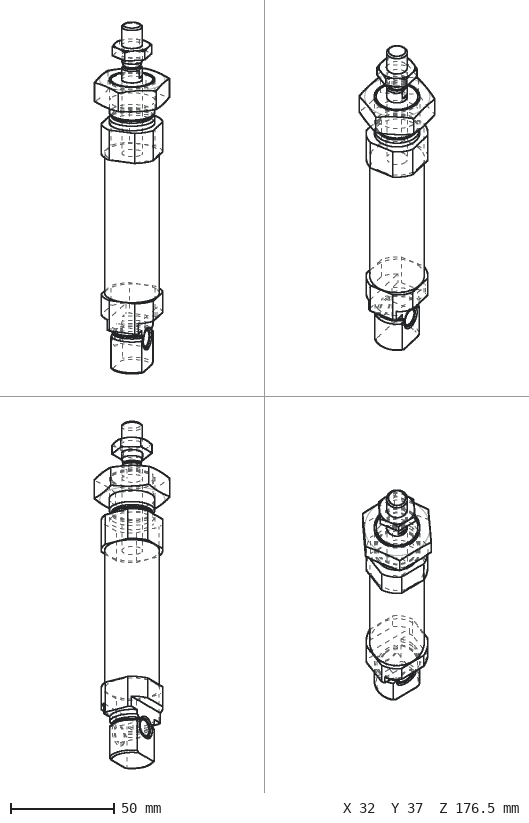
import cadquery as cq
import math

collar_d = 22.0
collar_groove_d = 19.8
collar_tip_d = 20.3
rod_d = 10.0

pivot_z = 15.5
tail_top_z = 22.2
flat_top_z = 27.5
rear_cap_top_z = 38.0
front_cap_z = 110.5
front_cap_top_z = 126.0
collar_nut_z = 137.5
collar_nut_height = 11.0
collar_top_z = collar_nut_z + collar_nut_height
rod_top_z = 176.5

tube_d = 26.5
cap_width = 27.0
cap_corner_d = 30.0
tail_width = 16.0
tip_chamfer = (collar_d - collar_tip_d) / 2
pivot_d = 8.0
pivot_recess_d = 9.7
pivot_rim_d = 11.1
groove_width = 3.2
tail_groove_z = 16.8
collar_groove_z = 128.3

rod_neck_d = 8.5
rod_tip_chamfer = 0.9
rod_flat_width = 9.0
rod_flat_z = 150.4
shoulder_z = 154.5
neck_z = 155.1
neck_top_z = 156.0
thread_z = 158.1

hex_half_angle = math.radians(30)
collar_nut_width = 32.0
collar_nut_face_d = 31.6
collar_nut_chamfer_angle = 15
rod_nut_width = 17.0
rod_nut_face_d = 17.3
rod_nut_chamfer_angle = 30
rod_nut_z = 161.3
rod_nut_height = 5.0


def cylinder(diameter, z_low, z_high):
    return cq.Workplane("XY").workplane(offset=z_low).circle(diameter / 2).extrude(z_high - z_low)


def revolve_profile(points):
    """Turn an outline of (radius, z) points about the Z axis."""
    return cq.Workplane("XZ").polyline(points).close().revolve(360, (0, 0), (0, 1))


def thread_groove(z_low):
    """Ring that cuts a V-sided relief groove into the collar diameter."""
    depth = (collar_d - collar_groove_d) / 2
    outer = collar_d / 2
    inner = collar_groove_d / 2
    return revolve_profile([
        (outer, z_low),
        (inner, z_low + depth),
        (inner, z_low + groove_width - depth),
        (outer, z_low + groove_width),
        (cap_width, z_low + groove_width),
        (cap_width, z_low),
    ])


def end_cap(z_low, z_high):
    """Square cap whose corners are rounded by a coaxial cylinder."""
    height = z_high - z_low
    square = cq.Workplane("XY").workplane(offset=z_low).rect(cap_width, cap_width).extrude(height)
    return square.intersect(cylinder(cap_corner_d, z_low, z_high))


def make_housing():
    tail = cylinder(collar_d, 0, tail_top_z).faces("<Z").chamfer(tip_chamfer)
    tail = tail.cut(thread_groove(tail_groove_z))
    collar = cylinder(collar_d, front_cap_top_z, collar_top_z).faces(">Z").chamfer(tip_chamfer)
    collar = collar.cut(thread_groove(collar_groove_z))

    body = cylinder(tube_d, rear_cap_top_z, front_cap_z)
    body = body.union(end_cap(tail_top_z, rear_cap_top_z)).union(end_cap(front_cap_z, front_cap_top_z))
    body = body.union(tail).union(collar)

    flat_depth = cap_width - tail_width
    for side in (-1, 1):
        flat_cutter = (
            cq.Workplane("XY")
            .center(side * (tail_width + flat_depth) / 2, 0)
            .rect(flat_depth, 2 * cap_width)
            .extrude(flat_top_z)
        )
        body = body.cut(flat_cutter)

    half = tail_width / 2
    recess_depth = (pivot_rim_d - pivot_recess_d) / 2
    pivot_cutter = (
        cq.Workplane("XY")
        .polyline([
            (-half, 0),
            (-half, pivot_rim_d / 2),
            (recess_depth - half, pivot_recess_d / 2),
            (recess_depth - half, pivot_d / 2),
            (half - recess_depth, pivot_d / 2),
            (half - recess_depth, pivot_recess_d / 2),
            (half, pivot_rim_d / 2),
            (half, 0),
        ])
        .close()
        .revolve(360, (0, 0), (1, 0))
        .translate((0, 0, pivot_z))
    )
    body = body.cut(pivot_cutter)

    return body.cut(cylinder(rod_d, front_cap_z, collar_top_z))


def make_piston_rod():
    radius = rod_d / 2
    neck = rod_neck_d / 2
    rod = revolve_profile([
        (0, front_cap_z),
        (radius, front_cap_z),
        (radius, shoulder_z),
        (neck, neck_z),
        (neck, neck_top_z),
        (radius, thread_z),
        (radius, rod_top_z - rod_tip_chamfer),
        (radius - rod_tip_chamfer, rod_top_z),
        (0, rod_top_z),
    ])
    for side in (-1, 1):
        flat_cutter = (
            cq.Workplane("XY")
            .workplane(offset=rod_flat_z)
            .center(side * (rod_flat_width + rod_d) / 2, 0)
            .rect(rod_d, rod_d)
            .extrude(neck_z - rod_flat_z)
        )
        rod = rod.cut(flat_cutter)
    return rod


def make_hex_nut(width, face_d, chamfer_angle, bore_d, z_low, height, chamfer_bottom):
    """Hex nut with two corners on the Y axis and conically chamfered corners."""
    corner_d = width / math.cos(hex_half_angle)
    drop = (corner_d - face_d) / 2 * math.tan(math.radians(chamfer_angle))
    z_high = z_low + height
    hexagon = (
        cq.Workplane("XY")
        .workplane(offset=z_low)
        .polygon(6, corner_d)
        .extrude(height)
        .rotate((0, 0, 0), (0, 0, 1), 90)
    )
    if chamfer_bottom:
        lower_edge = [(face_d / 2, z_low), (corner_d / 2, z_low + drop)]
    else:
        lower_edge = [(corner_d / 2, z_low)]
    upper_edge = [(corner_d / 2, z_high - drop), (face_d / 2, z_high)]
    envelope = revolve_profile([(0, z_low)] + lower_edge + upper_edge + [(0, z_high)])
    return hexagon.intersect(envelope).cut(cylinder(bore_d, z_low, z_high))


housing = make_housing()
piston_rod = make_piston_rod()
collar_nut = make_hex_nut(
    collar_nut_width, collar_nut_face_d, collar_nut_chamfer_angle,
    collar_d, collar_nut_z, collar_nut_height, chamfer_bottom=True,
)
rod_nut = make_hex_nut(
    rod_nut_width, rod_nut_face_d, rod_nut_chamfer_angle,
    rod_d, rod_nut_z, rod_nut_height, chamfer_bottom=False,
)

result = cq.Compound.makeCompound([housing.val(), piston_rod.val(), collar_nut.val(), rod_nut.val()])